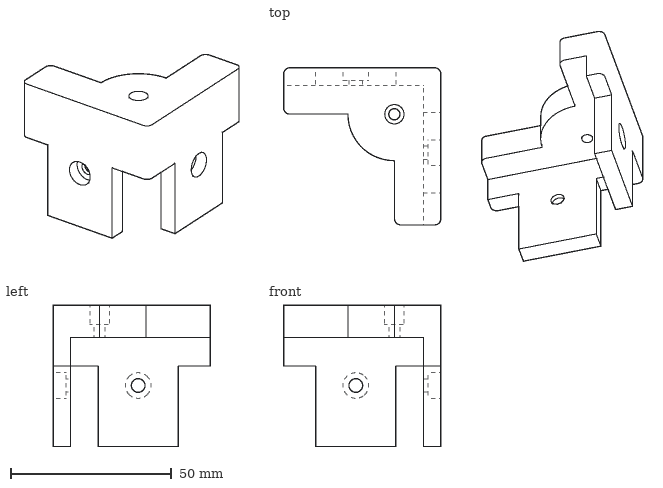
import cadquery as cq

SPAN = 49.0
HEIGHT = 44.0
CORNER_RADIUS = 2.0

ARM_WIDTH = 14.5
INNER = SPAN - ARM_WIDTH
PLATE_THICKNESS = 10.0
PLATE_BOTTOM = HEIGHT - PLATE_THICKNESS

WALL = 5.5
SKIRT_DEPTH = 9.0
SKIRT_BOTTOM = PLATE_BOTTOM - SKIRT_DEPTH

TAB_START = 10.0
TAB_WIDTH = 25.0

PLATE_SCREW_DIAMETER = 3.4
PLATE_HEAD_DIAMETER = 6.0
PLATE_HEAD_DEPTH = 6.0

TAB_SCREW_X = TAB_START + TAB_WIDTH / 2
TAB_SCREW_HEIGHT = 19.0
TAB_SCREW_DIAMETER = 4.2
TAB_HEAD_DIAMETER = 8.0
TAB_HEAD_DEPTH = 4.0

OUTER_CORNERS = [(0, SPAN), (SPAN, SPAN), (SPAN, 0)]
INNER_ARM_ENDS = [(0, INNER), (INNER, 0)]

DOWN = (0, 0, -1)
INTO_TAB = (0, -1, 0)


def box(corner, size):
    """Block with its lowest X, Y, Z corner at the given point."""
    return cq.Workplane("XY").box(*size, centered=False).translate(corner)


def cylinder(diameter, base, axis, length):
    """Round rod from the base point along the axis."""
    rod = cq.Solid.makeCylinder(diameter / 2, length, cq.Vector(*base), cq.Vector(*axis))
    return cq.Workplane(obj=rod)


def stepped_hole(start, axis, shank_diameter, shank_depth, head_diameter, head_depth):
    """Cutter for a screw hole with a flat-bottomed head recess at its start."""
    shank = cylinder(shank_diameter, start, axis, shank_depth)
    head = cylinder(head_diameter, start, axis, head_depth)
    return shank.union(head)


def on_other_arm(shape):
    """The same shape with X and Y swapped."""
    return shape.rotate((0, 0, 0), (0, 0, 1), 90).mirror("YZ")


def angle_bracket(arm_width, bottom, thickness, rounded_corners):
    """L along the +X and +Y sides, with the listed vertical edges rounded."""
    arm = box((0, SPAN - arm_width, bottom), (SPAN, arm_width, thickness))
    bracket = arm.union(on_other_arm(arm))
    for x, y in rounded_corners:
        edge = cq.selectors.NearestToPointSelector((x, y, bottom + thickness / 2))
        bracket = bracket.edges("|Z").edges(edge).fillet(CORNER_RADIUS)
    return bracket


def make_plate():
    """L-shaped plate with a quarter disc bulging from its inner corner."""
    corners = OUTER_CORNERS + INNER_ARM_ENDS
    plate = angle_bracket(ARM_WIDTH, PLATE_BOTTOM, PLATE_THICKNESS, corners)
    disc = cylinder(2 * ARM_WIDTH, (INNER, INNER, HEIGHT), DOWN, PLATE_THICKNESS)
    return plate.union(disc)


def make_skirt():
    """Wall below the plate along the two outer sides."""
    return angle_bracket(WALL, SKIRT_BOTTOM, SKIRT_DEPTH, OUTER_CORNERS)


def make_tab():
    """Mounting tab on the +Y side, with its screw hole."""
    tab = box((TAB_START, SPAN - WALL, 0), (TAB_WIDTH, WALL, SKIRT_BOTTOM))
    hole_start = (TAB_SCREW_X, SPAN, TAB_SCREW_HEIGHT)
    hole = stepped_hole(
        hole_start, INTO_TAB, TAB_SCREW_DIAMETER, WALL, TAB_HEAD_DIAMETER, TAB_HEAD_DEPTH
    )
    return tab.cut(hole)


def plate_hole():
    """Cutter for the screw hole down through the plate."""
    hole_start = (INNER, INNER, HEIGHT)
    return stepped_hole(
        hole_start, DOWN, PLATE_SCREW_DIAMETER, PLATE_THICKNESS, PLATE_HEAD_DIAMETER, PLATE_HEAD_DEPTH
    )


tab = make_tab()
result = make_plate().cut(plate_hole()).union(make_skirt())
result = result.union(tab).union(on_other_arm(tab))